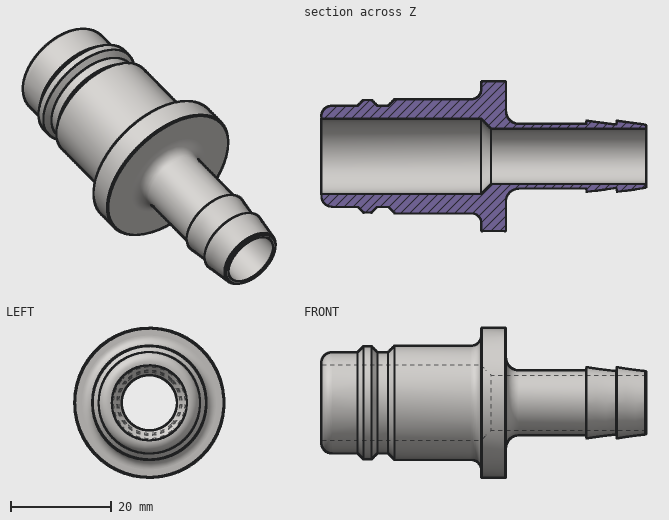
import cadquery as cq
import math

overall_length = 65.0

nose_radius = 20.3 / 2
nose_rounding = 2.2
ring_radius = 22.6 / 2
ring_start = 7.3
ring_crest_width = 1.6
ring_chamfer = ring_radius - nose_radius
body_radius = 22.9 / 2
body_start = 13.4
body_chamfer = body_radius - nose_radius

flange_radius = 30.0 / 2
flange_start = 32.0
flange_width = 5.0
flange_end = flange_start + flange_width
flange_chamfer = 0.2
body_fillet = 1.95

stem_radius = 13.05 / 2
stem_fillet = 2.5

barb_count = 2
barb_radius = 7.15
barb_tail_radius = 6.4
barb_length = 6.05
barb_rise_length = 0.1
tip_chamfer = 0.25
barbs_start = overall_length - barb_count * barb_length

bore_radius = 15.0 / 2
passage_radius = 11.0 / 2
bore_depth = flange_start
cone_length = bore_radius - passage_radius


def arc_middle(center_x, center_r, radius, degrees):
    """Point halfway along a quarter-round, given its centre and direction."""
    angle = math.radians(degrees)
    return (center_x + radius * math.cos(angle), center_r + radius * math.sin(angle))


def make_outer_body():
    ring_crest_start = ring_start + ring_chamfer
    ring_crest_end = ring_crest_start + ring_crest_width

    profile = cq.Workplane("XY").lineTo(0, nose_radius - nose_rounding)
    profile = profile.threePointArc(
        arc_middle(nose_rounding, nose_radius - nose_rounding, nose_rounding, 135),
        (nose_rounding, nose_radius),
    )

    profile = (
        profile.lineTo(ring_start, nose_radius)
        .lineTo(ring_crest_start, ring_radius)
        .lineTo(ring_crest_end, ring_radius)
        .lineTo(ring_crest_end + ring_chamfer, nose_radius)
        .lineTo(body_start, nose_radius)
        .lineTo(body_start + body_chamfer, body_radius)
        .lineTo(flange_start - body_fillet, body_radius)
    )

    profile = (
        profile.threePointArc(
            arc_middle(flange_start - body_fillet, body_radius + body_fillet, body_fillet, -45),
            (flange_start, body_radius + body_fillet),
        )
        .lineTo(flange_start, flange_radius - flange_chamfer)
        .lineTo(flange_start + flange_chamfer, flange_radius)
        .lineTo(flange_end - flange_chamfer, flange_radius)
        .lineTo(flange_end, flange_radius - flange_chamfer)
        .lineTo(flange_end, stem_radius + stem_fillet)
        .threePointArc(
            arc_middle(flange_end + stem_fillet, stem_radius + stem_fillet, stem_fillet, 225),
            (flange_end + stem_fillet, stem_radius),
        )
        .lineTo(barbs_start, stem_radius)
    )

    for index in range(barb_count):
        barb_start = barbs_start + index * barb_length
        profile = profile.lineTo(barb_start + barb_rise_length, barb_radius)
        if index < barb_count - 1:
            profile = profile.lineTo(barb_start + barb_length, barb_tail_radius)

    profile = (
        profile.lineTo(overall_length - tip_chamfer, barb_tail_radius)
        .lineTo(overall_length, barb_tail_radius - tip_chamfer)
        .lineTo(overall_length, 0)
        .close()
    )
    return profile.revolve(360, (0, 0, 0), (1, 0, 0))


def make_bore():
    return (
        cq.Workplane("XY")
        .lineTo(0, bore_radius)
        .lineTo(bore_depth, bore_radius)
        .lineTo(bore_depth + cone_length, passage_radius)
        .lineTo(overall_length, passage_radius)
        .lineTo(overall_length, 0)
        .close()
        .revolve(360, (0, 0, 0), (1, 0, 0))
    )


result = make_outer_body().cut(make_bore())